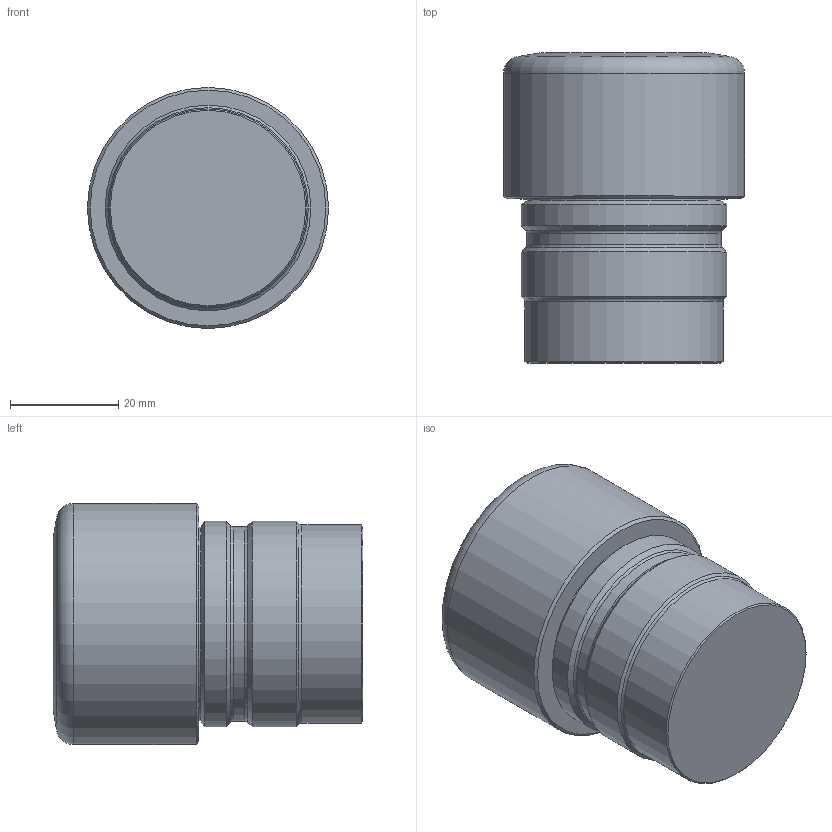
import cadquery as cq
import math

total_length = 57.15
head_length = 26.9
shank_length = total_length - head_length

head_radius = 44.45 / 2
land_radius = 37.94 / 2
spigot_radius = 36.51 / 2
groove_radius = 35.9 / 2
neck_radius = 35.7 / 2

corner_radius = 3.2
corner_start = head_length - 3.8
crown_angle = math.radians(9)
head_chamfer = 0.5

neck_length = 0.3
upper_land_start = 1.05
groove_start = 5.0
groove_width = 4.8
lower_land_end = 17.95
end_chamfer = 0.25

slope_angle = math.radians(45)
foot_radius = 0.79
foot_length = foot_radius * math.sin(slope_angle)
foot_height = foot_radius * (1 - math.cos(slope_angle))
foot_mid_length = foot_radius * (math.sin(slope_angle) - math.sin(slope_angle / 2))
foot_mid_height = foot_radius * (1 - math.cos(slope_angle / 2))


def step_points(low_radius, edge, direction):
    """Slope top, slope foot, middle of the round and its end, going along Y in the direction (+1 or -1)."""
    slope = land_radius - low_radius - foot_height
    return (
        (land_radius, edge),
        (low_radius + foot_height, edge + direction * slope),
        (low_radius + foot_mid_height, edge + direction * (slope + foot_mid_length)),
        (low_radius, edge + direction * (slope + foot_length)),
    )


def step_down(profile, low_radius, edge):
    """Draw from a land edge down to the smaller radius, towards -Y."""
    top, foot, middle, end = step_points(low_radius, edge, -1)
    return profile.lineTo(*top).lineTo(*foot).threePointArc(middle, end)


def step_up(profile, low_radius, edge):
    """Draw from the smaller radius up to a land edge, towards -Y."""
    top, foot, middle, end = step_points(low_radius, edge, 1)
    return profile.lineTo(*end).threePointArc(middle, foot).lineTo(*top)


def corner_point(angle):
    """Point on the head's round corner, with the angle measured from the axis."""
    return (
        head_radius - corner_radius + corner_radius * math.sin(angle),
        corner_start + corner_radius * math.cos(angle),
    )


def draw_head(profile):
    """Draw the head from the centre of its end face to the neck at the shoulder."""
    crown_edge = corner_point(crown_angle)
    corner_middle = corner_point((crown_angle + math.pi / 2) / 2)
    flat_radius = crown_edge[0] - (head_length - crown_edge[1]) / math.tan(crown_angle)
    return (
        profile.moveTo(0, head_length)
        .lineTo(flat_radius, head_length)
        .lineTo(*crown_edge)
        .threePointArc(corner_middle, (head_radius, corner_start))
        .lineTo(head_radius, head_chamfer)
        .lineTo(head_radius - head_chamfer, 0)
        .lineTo(neck_radius, 0)
    )


def draw_shank(profile):
    """Draw the neck, the two lands with the groove between them, and the spigot."""
    profile = profile.lineTo(neck_radius, -neck_length)
    profile = profile.lineTo(land_radius, -upper_land_start)
    profile = step_down(profile, groove_radius, -groove_start)
    profile = step_up(profile, groove_radius, -(groove_start + groove_width))
    profile = step_down(profile, spigot_radius, -lower_land_end)
    return (
        profile.lineTo(spigot_radius, -shank_length + end_chamfer)
        .lineTo(spigot_radius - end_chamfer, -shank_length)
        .lineTo(0, -shank_length)
    )


outline = draw_shank(draw_head(cq.Workplane("XY"))).close()
result = outline.revolve(360, (0, 0, 0), (0, 1, 0))